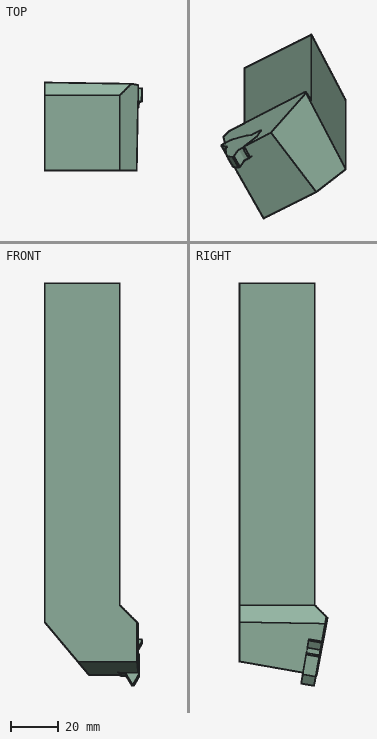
import cadquery as cq
import math

total_length = 171.06
overall_width = 41.58

shank_size = 32.0
shoulder_z = 34.3
head_x_at_front = 39.2
side_relief_angle = 1.0
tilt_angle = 10.0
skew_angle = 1.0
head_peak_y = 37.45
chamfer_top_z = 27.1
chamfer_angle = 40.0
bottom_z_at_front = 10.35

tooth_count = 3
insert_center_x = 34.0
insert_center_z = 10.4
insert_thickness = 5.6
edge_radius = 6.2
tooth_root_radius = 6.35
tooth_half_angle = 30.0
tooth_offset = 3.52
tooth_flat = 0.7
root_fillet_radius = 1.0

stock = 100.0

tan_tilt = math.tan(math.radians(tilt_angle))
tan_skew = math.tan(math.radians(skew_angle))
tan_chamfer = math.tan(math.radians(chamfer_angle))

head_peak_z = shoulder_z - (head_peak_y - shank_size)


def rake_y(x, z):
    """Y of the rake face at a given X and Z."""
    return head_peak_y + (z - head_peak_z) * tan_tilt - x * tan_skew


def rake_plane(x, z):
    """Plane on the rake face, facing into the holder, with its local y pointing up."""
    return cq.Plane(
        origin=(x, rake_y(x, z), z),
        xDir=(1, -tan_skew, 0),
        normal=(-tan_skew, -1, tan_tilt),
    )


def turned(point, angle):
    """Point turned about the insert centre by an angle in degrees."""
    x, y = point
    turn = math.radians(angle)
    return (x * math.cos(turn) - y * math.sin(turn), x * math.sin(turn) + y * math.cos(turn))


def make_insert():
    """Three-toothed insert lying flush in the rake face."""
    flank = math.radians(tooth_half_angle)
    half_flat = tooth_flat / 2
    tip_radius = insert_center_z / math.cos(math.radians(tilt_angle))

    right_flank_top = (edge_radius - tooth_offset - half_flat) / math.tan(flank) - tip_radius
    root_corner_x = tooth_offset - half_flat - (tip_radius - tooth_root_radius) * math.tan(flank)

    edge_slant = math.radians(360 / tooth_count / 2)
    root_end_x = tooth_root_radius * math.tan(edge_slant) - edge_radius / math.cos(edge_slant)

    fillet_turn = math.pi / 2 - flank
    fillet_start_x = root_corner_x - root_fillet_radius * math.tan(fillet_turn / 2)

    def fillet_point(angle):
        return (
            fillet_start_x + root_fillet_radius * math.sin(angle),
            -tooth_root_radius - root_fillet_radius * (1 - math.cos(angle)),
        )

    insert_plane = rake_plane(insert_center_x, insert_center_z)
    outline = cq.Workplane(insert_plane).moveTo(root_end_x, -tooth_root_radius)
    for i in range(tooth_count):
        angle = 360 / tooth_count * i
        if i > 0:
            outline = outline.lineTo(*turned((root_end_x, -tooth_root_radius), angle))
        outline = outline.lineTo(*turned(fillet_point(0), angle))
        outline = outline.threePointArc(
            turned(fillet_point(fillet_turn / 2), angle),
            turned(fillet_point(fillet_turn), angle),
        )
        outline = outline.lineTo(*turned((tooth_offset - half_flat, -tip_radius), angle))
        outline = outline.lineTo(*turned((tooth_offset + half_flat, -tip_radius), angle))
        outline = outline.lineTo(*turned((edge_radius, right_flank_top), angle))
    return outline.close().extrude(insert_thickness)


def make_holder(insert):
    """Square shank with a widened, tilted head and a seat for the insert."""
    front_outline = [
        (0, total_length),
        (shank_size, total_length),
        (shank_size, shoulder_z),
        (overall_width, shoulder_z - (overall_width - shank_size)),
        (overall_width, 0),
        (chamfer_top_z * tan_chamfer, 0),
        (0, chamfer_top_z),
    ]
    holder = cq.Workplane("XZ").polyline(front_outline).close().extrude(-stock)

    bottom_z_at_back = bottom_z_at_front - head_peak_y * tan_tilt
    side_outline = [
        (0, total_length),
        (shank_size, total_length),
        (shank_size, shoulder_z),
        (head_peak_y, head_peak_z),
        (head_peak_y, bottom_z_at_back),
        (0, bottom_z_at_front),
    ]
    holder = holder.intersect(cq.Workplane("YZ").polyline(side_outline).close().extrude(stock))

    above_rake = cq.Workplane(rake_plane(0, head_peak_z)).rect(2 * stock, 2 * stock).extrude(-stock)
    head_zone = cq.Workplane("XY").box(2 * stock, 2 * stock, shoulder_z, centered=(True, True, False))
    holder = holder.cut(above_rake.intersect(head_zone))

    relief = cq.Workplane("XY").box(stock, 2 * stock, shoulder_z, centered=(False, True, False))
    relief = relief.rotate((0, 0, 0), (0, 0, 1), -side_relief_angle).translate((head_x_at_front, 0, 0))
    return holder.cut(relief).cut(insert)


insert = make_insert()
holder = make_holder(insert)
result = cq.Compound.makeCompound([holder.val(), insert.val()])